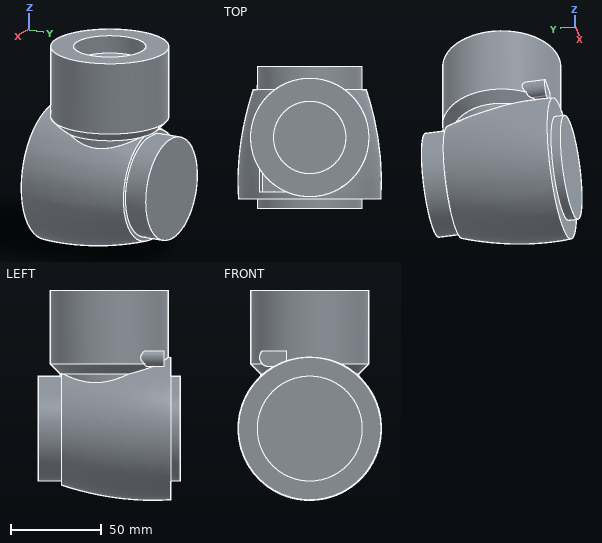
import cadquery as cq
import math


body_radius = 39.685
body_front_y = -34.0
body_back_y = 26.4
crown_y = -23.0
front_face_radius = 39.35
shoulder_radius = 36.25
shoulder_y = 8.0
back_face_radius = 31.3

stub_radius = 29.0
stub_front_y = -39.25
stub_back_y = 39.25

head_radius = 32.7
head_top_z = 76.265
head_height = 40.6
bore_radius = 20.0
bore_depth = 10.0
cone_height = 5.6
neck_radius = 27.1

lug_round_radius = 5.0
lug_center_x = -22.7
lug_center_z = 39.3
lug_top_z = 42.9
lug_front_y = -30.1
lug_back_y = -10.0
lug_inner_x = -8.0


def make_body():
    """Barrel whose side is one smooth curve: widest at the crown, tapering to the back."""
    side_points = [
        (body_radius, crown_y),
        (shoulder_radius, shoulder_y),
        (back_face_radius, body_back_y),
    ]
    return (
        cq.Workplane("XY")
        .moveTo(0, body_front_y)
        .lineTo(front_face_radius, body_front_y)
        .spline(side_points, includeCurrent=True)
        .lineTo(0, body_back_y)
        .close()
        .revolve(360, (0, 0, 0), (0, 1, 0))
    )


def make_stubs():
    return (
        cq.Workplane("XZ", origin=(0, stub_back_y, 0))
        .circle(stub_radius)
        .extrude(stub_back_y - stub_front_y)
    )


def make_head():
    head_bottom_z = head_top_z - head_height
    cone_bottom_z = head_bottom_z - cone_height
    return (
        cq.Workplane("XZ")
        .moveTo(0, 0)
        .lineTo(neck_radius, 0)
        .lineTo(neck_radius, cone_bottom_z)
        .lineTo(head_radius, head_bottom_z)
        .lineTo(head_radius, head_top_z)
        .lineTo(0, head_top_z)
        .close()
        .revolve(360, (0, 0, 0), (0, 1, 0))
    )


def make_lug():
    """Flat-topped lug whose outer end is round."""
    bottom_z = lug_center_z - lug_round_radius
    top_rise = lug_top_z - lug_center_z
    top_corner_x = lug_center_x - math.sqrt(lug_round_radius**2 - top_rise**2)
    return (
        cq.Workplane("XZ", origin=(0, lug_back_y, 0))
        .moveTo(lug_inner_x, bottom_z)
        .lineTo(lug_center_x, bottom_z)
        .threePointArc((lug_center_x - lug_round_radius, lug_center_z), (top_corner_x, lug_top_z))
        .lineTo(lug_inner_x, lug_top_z)
        .close()
        .extrude(lug_back_y - lug_front_y)
    )


def make_bore():
    return (
        cq.Workplane("XY", origin=(0, 0, head_top_z))
        .circle(bore_radius)
        .extrude(-bore_depth)
    )


result = make_body().union(make_stubs()).union(make_head()).union(make_lug()).cut(make_bore())